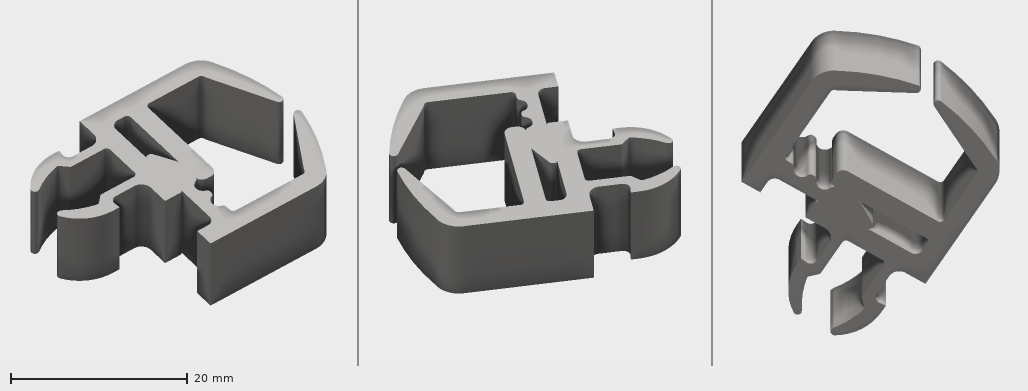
import cadquery as cq
import math

WIDTH = 24.5
DEPTH = 10.0
WALL = 2.5

BASE_TOP = WALL
BAR_BOTTOM = 2 * WALL
BAR_TOP = 3 * WALL
BAR_END = 16.0

SMALL_ROUND = 0.5
LARGE_ROUND = 1.0
EDGE_ROUND = 0.3

WALL_TOP = 15.0
SEAM_CENTER_Y = 14.7
SEAM_INNER_R = LARGE_ROUND
SEAM_OUTER_R = SEAM_INNER_R + WALL
HOUSING_ARM_ANGLE = 27.0
SLIDER_ARM_ANGLE = 29.7
ARM_BACK_R = 28.8
ARM_TIP_R = 0.5

GROOVE_PITCH = 3.0
GROOVE_COUNT = 3
FIRST_GROOVE = 5.0
GROOVE_R = 1.0
CREST_R = 0.5
CREST_OFFSET = math.sqrt((GROOVE_R + CREST_R) ** 2 - CREST_R ** 2)
TONGUE_END = 15.52
TONGUE_SLOPE = 30.0

LEG_MIDDLE = 8.0
LEG_OUTER = 4.0
LEG_THICKNESS = 1.2
LEG_INNER = LEG_OUTER - LEG_THICKNESS
LEG_FLARE_R = 1.35
LEG_ROOT_R = 0.5
LEG_ROOT_MARGIN = 0.32
BARB_TIP = (5.65, -4.7)
BARB_FLANK_Y = -5.63
BARB_NOTCH_Y = -4.9
BARB_NOTCH_R = 0.8
LEG_TIP_OUTER = (2.8, -10.9)
LEG_TIP_BOTTOM = (2.5, -11.05)
LEG_TIP_SIDE = (2.0, -10.55)
LEG_TIP_INNER = (2.1, -10.2)
LEG_INNER_MID = (3.1, -8.48)
LEG_HEEL = (3.78, -6.25)
LEG_HEEL_R = 0.25
LEG_KNEE_Y = -5.2
LEG_KNEE_R = 0.2


def polar(center, radius, degrees):
    """Point on a circle, with the angle counted from +X."""
    angle = math.radians(degrees)
    return (center[0] + radius * math.cos(angle), center[1] + radius * math.sin(angle))


def step_towards(start, end, distance):
    length = math.dist(start, end)
    return tuple(a + (b - a) * distance / length for a, b in zip(start, end))


def rounded_line(path, start, corners, end):
    """Continue a path from start to end, rounding each (x, y, radius) corner."""
    points = [start] + [corner[:2] for corner in corners] + [end]
    for i, (x, y, radius) in enumerate(corners, 1):
        corner = (x, y)
        before, after = points[i - 1], points[i + 1]
        angle_before = math.atan2(before[1] - y, before[0] - x)
        angle_after = math.atan2(after[1] - y, after[0] - x)
        half_angle = abs(math.remainder(angle_after - angle_before, 2 * math.pi)) / 2
        tangent = radius / math.tan(half_angle)
        arc_start = step_towards(corner, before, tangent)
        arc_end = step_towards(corner, after, tangent)
        chord_middle = tuple((a + b) / 2 for a, b in zip(arc_start, arc_end))
        arc_middle = step_towards(corner, chord_middle, radius / math.sin(half_angle) - radius)
        path = path.lineTo(*arc_start).threePointArc(arc_middle, arc_end)
    return path.lineTo(*end)


def latch_groove(path, center_x, direction):
    """Add a round groove with rounded crests, from crest top to crest top along X."""
    center = (center_x, BAR_BOTTOM)
    lean = math.degrees(math.asin(CREST_R / (GROOVE_R + CREST_R)))
    first_crest = (center_x - direction * CREST_OFFSET, BAR_BOTTOM - CREST_R)
    last_crest = (center_x + direction * CREST_OFFSET, BAR_BOTTOM - CREST_R)
    rising = 90 - direction * (90 - lean)
    falling = 180 - rising
    crest_end = polar(first_crest, CREST_R, rising)
    return (
        path.threePointArc(polar(first_crest, CREST_R, (90 + rising) / 2), crest_end)
        .threePointArc((center_x, BAR_BOTTOM - GROOVE_R), polar(center, GROOVE_R, -rising))
        .threePointArc(polar(last_crest, CREST_R, (90 + falling) / 2), (last_crest[0], BAR_BOTTOM))
    )


def elbow_middle(wall_end, seam_end):
    """Middle point of the arc that leaves a vertical wall tangentially and ends at the seam."""
    rise = seam_end[1] - wall_end[1]
    run = seam_end[0] - wall_end[0]
    radius = (run ** 2 + rise ** 2) / (2 * run)
    sweep = math.degrees(math.atan2(rise, radius - run))
    return polar((wall_end[0] + radius, wall_end[1]), radius, 180 - sweep / 2)


def wall_and_elbow(arm_angle):
    """Start an outline: up the outer wall, round the elbow and back to the inner wall."""
    center = (SEAM_OUTER_R, SEAM_CENTER_Y)
    seam = 90 + arm_angle
    outer_seam = polar(center, SEAM_OUTER_R, seam)
    inner_seam = polar(center, SEAM_INNER_R, seam)
    wall_top = (WALL, WALL_TOP)
    return (
        cq.Workplane("XY").moveTo(0, 0).lineTo(0, WALL_TOP)
        .threePointArc(elbow_middle((0, WALL_TOP), outer_seam), outer_seam)
        .lineTo(*inner_seam)
        .threePointArc(elbow_middle(wall_top, inner_seam), wall_top)
    )


def arm(arm_angle):
    """Arm with a straight inner face and a curved back that ends in a round tip."""
    back_center = (0, WALL - ARM_BACK_R)
    tip_y = ARM_TIP_R
    tip_x = math.sqrt((ARM_BACK_R - ARM_TIP_R) ** 2 - (tip_y - back_center[1]) ** 2)
    back_end_angle = math.degrees(math.atan2(tip_y - back_center[1], tip_x))
    foot = polar((SEAM_OUTER_R, SEAM_CENTER_Y), SEAM_INNER_R, 90 + arm_angle)
    return (
        cq.Workplane("XY").lineTo(tip_x, 0)
        .threePointArc((tip_x + ARM_TIP_R, tip_y), polar(back_center, ARM_BACK_R, back_end_angle))
        .threePointArc(polar(back_center, ARM_BACK_R, (90 + back_end_angle) / 2), (0, WALL))
        .close().extrude(DEPTH)
        .rotate((0, 0, 0), (0, 0, 1), arm_angle)
        .translate((*foot, 0))
    )


def snap_leg():
    """Right-hand leg, with a flared root, an outward barb and a curved lead-in."""
    root_start = (LEG_OUTER + LEG_FLARE_R + LEG_ROOT_MARGIN, 0)
    root_end = (LEG_INNER - LEG_ROOT_R - LEG_ROOT_MARGIN, 0)
    path = rounded_line(
        cq.Workplane("XY").moveTo(*root_start),
        root_start,
        [(LEG_OUTER, 0, LEG_FLARE_R), (LEG_OUTER, BARB_NOTCH_Y, BARB_NOTCH_R)],
        BARB_TIP,
    )
    path = (
        path.lineTo(BARB_TIP[0], BARB_FLANK_Y)
        .tangentArcPoint(LEG_TIP_OUTER, relative=False)
        .threePointArc(LEG_TIP_BOTTOM, LEG_TIP_SIDE)
        .lineTo(*LEG_TIP_INNER)
    )
    heel_start = (LEG_HEEL[0], LEG_HEEL[1] - LEG_HEEL_R)
    path = path.threePointArc(LEG_INNER_MID, heel_start)
    path = rounded_line(
        path,
        heel_start,
        [(*LEG_HEEL, LEG_HEEL_R), (LEG_INNER, LEG_KNEE_Y, LEG_KNEE_R), (LEG_INNER, 0, LEG_ROOT_R)],
        root_end,
    )
    root_top = BASE_TOP / 2
    return (
        path.lineTo(root_end[0], root_top)
        .lineTo(root_start[0], root_top)
        .close().extrude(DEPTH)
    )


def make_housing():
    """Left body: wall, arm, toothed bar, base and both snap legs."""
    tooth_x = WIDTH - FIRST_GROOVE - (GROOVE_COUNT - 1) * GROOVE_PITCH
    path = rounded_line(
        wall_and_elbow(HOUSING_ARM_ANGLE),
        (WALL, WALL_TOP),
        [
            (WALL, BAR_TOP, SMALL_ROUND),
            (BAR_END, BAR_TOP, LARGE_ROUND),
            (BAR_END, BAR_BOTTOM, LARGE_ROUND),
        ],
        (tooth_x + CREST_OFFSET, BAR_BOTTOM),
    )
    path = latch_groove(path, tooth_x, -1)
    path = rounded_line(
        path,
        (tooth_x - CREST_OFFSET, BAR_BOTTOM),
        [
            (WALL, BAR_BOTTOM, SMALL_ROUND),
            (WALL, BASE_TOP, LARGE_ROUND),
            (BAR_END, BASE_TOP, EDGE_ROUND),
        ],
        (BAR_END, 0),
    )
    body = path.close().extrude(DEPTH)
    right_leg = snap_leg()
    for leg in (right_leg, right_leg.mirror("YZ")):
        body = body.union(leg.translate((LEG_MIDDLE, 0, 0)), clean=True)
    return body.union(arm(HOUSING_ARM_ANGLE), clean=False)


def make_slider():
    """Right body: wall, arm and grooved tongue, built from its outer wall and mirrored."""
    first_crest = (FIRST_GROOVE - CREST_OFFSET, BAR_BOTTOM)
    path = rounded_line(
        wall_and_elbow(SLIDER_ARM_ANGLE), (WALL, WALL_TOP), [(WALL, BAR_BOTTOM, SMALL_ROUND)], first_crest
    )
    for i in range(GROOVE_COUNT):
        last_groove = FIRST_GROOVE + i * GROOVE_PITCH
        if i > 0:
            path = path.lineTo(last_groove - CREST_OFFSET, BAR_BOTTOM)
        path = latch_groove(path, last_groove, 1)

    crest = (last_groove + CREST_OFFSET, BAR_BOTTOM - CREST_R)
    slope_start = polar(crest, CREST_R, 90 - TONGUE_SLOPE)
    path = path.threePointArc(polar(crest, CREST_R, 90 - TONGUE_SLOPE / 2), slope_start)
    nose_y = slope_start[1] - (TONGUE_END - slope_start[0]) * math.tan(math.radians(TONGUE_SLOPE))
    path = rounded_line(
        path,
        slope_start,
        [
            (TONGUE_END, nose_y, EDGE_ROUND),
            (TONGUE_END, BASE_TOP, EDGE_ROUND),
            (WALL, BASE_TOP, LARGE_ROUND),
        ],
        (WALL, 0),
    )
    body = path.close().extrude(DEPTH).union(arm(SLIDER_ARM_ANGLE), clean=False)
    return body.mirror("YZ").translate((WIDTH, 0, 0))


housing = make_housing()
slider = make_slider()
result = cq.Compound.makeCompound([*housing.solids().vals(), *slider.solids().vals()])